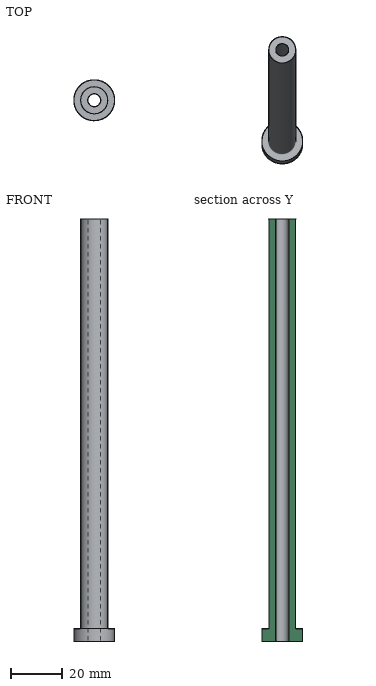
import cadquery as cq

total_length = 165.0
head_diameter = 16.0
head_height = 5.1
shaft_diameter = 10.5
bore_diameter = 5.0
neck_fillet = 0.3


def make_pin():
    """Round head with a long shaft above it and a fillet in the corner between them."""
    head = cq.Workplane("XY").circle(head_diameter / 2).extrude(head_height)
    shaft = cq.Workplane("XY").circle(shaft_diameter / 2).extrude(total_length)
    head_top = head.union(shaft).faces("|Z").faces(">Z[-2]")
    return head_top.edges(cq.selectors.RadiusNthSelector(0)).fillet(neck_fillet)


def make_bore():
    """Through bore along the full length of the pin."""
    return cq.Workplane("XY").circle(bore_diameter / 2).extrude(total_length)


result = make_pin().cut(make_bore())